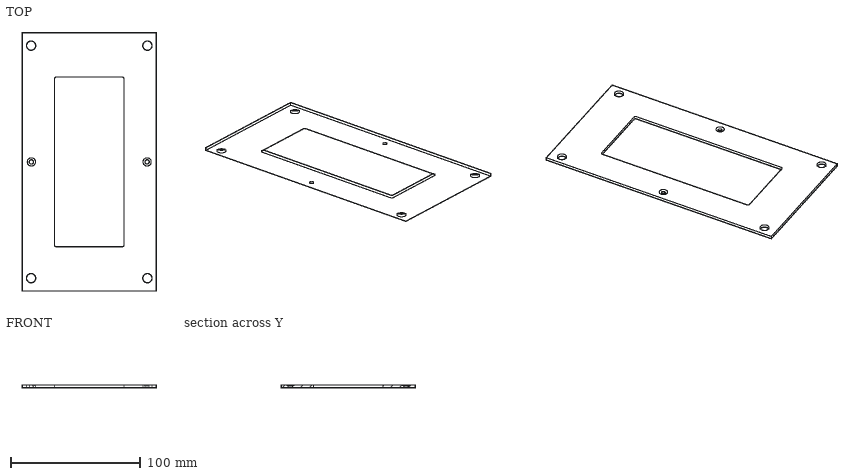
import cadquery as cq

width = 104.0
length = 200.0
thickness = 2.5

window_width = 53.5
window_length = 131.2
window_corner_radius = 1.2

corner_hole_diameter = 7.0
corner_hole_spacing_x = 90.0
corner_hole_spacing_y = 180.0

screw_hole_diameter = 3.2
screw_hole_spacing = 89.5
countersink_diameter = 6.5
countersink_angle = 130.0

plate = cq.Workplane("XY").box(width, length, thickness)

window = (
    cq.Workplane("XY")
    .box(window_width, window_length, thickness)
    .edges("|Z")
    .fillet(window_corner_radius)
)
plate = plate.cut(window)

plate = (
    plate.faces(">Z")
    .workplane(origin=(0, 0, 0))
    .rarray(corner_hole_spacing_x, corner_hole_spacing_y, 2, 2)
    .hole(corner_hole_diameter)
)

result = (
    plate.faces(">Z")
    .workplane(origin=(0, 0, 0))
    .pushPoints([(-screw_hole_spacing / 2, 0), (screw_hole_spacing / 2, 0)])
    .cskHole(screw_hole_diameter, countersink_diameter, countersink_angle)
)